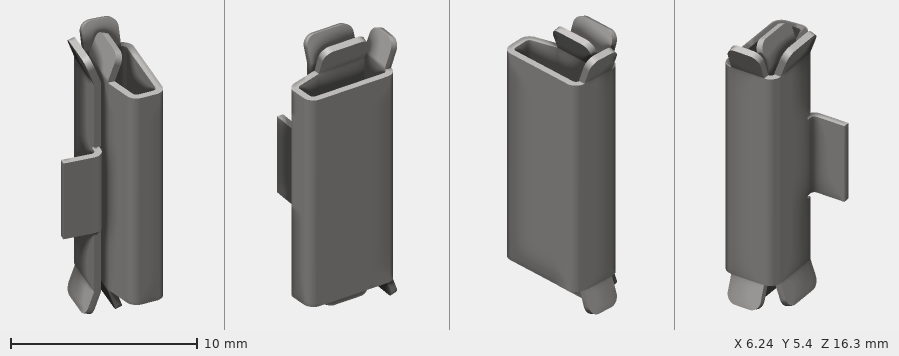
import cadquery as cq
import math

SHEET = 0.4
BODY_LENGTH = 13.08
BODY_DEPTH = 3.4
INNER_RADIUS = 0.25
SOFT_RADIUS = 0.1
OUTER_RADIUS = INNER_RADIUS + SHEET

BOTTOM_FLAT = 2.95
LEFT_FLAT = BODY_DEPTH - 2 * OUTER_RADIUS
TOP_FLAT = 4.325
RIGHT_FLAT = 0.87
ARM_FLAT = 1.55
TONGUE_FLAT = 2.92

CORNER_ANGLE = 90
TOP_RIGHT_ANGLE = 85
ARM_ANGLE = 78
TONGUE_ANGLE = 360 - 2 * CORNER_ANGLE - TOP_RIGHT_ANGLE - ARM_ANGLE

BOTTOM_END_X = OUTER_RADIUS + BOTTOM_FLAT

LEG_WIDTH = 4.8
LEG_REACH = 2.0
LEG_FLAT = LEG_REACH + SHEET - OUTER_RADIUS
RELIEF_WIDTH = 0.2
RELIEF_DEPTH = 0.3

TAB_ANGLE = 20
TAB_FLAT = 1.555
TAB_CORNER_RADIUS = 0.6


def step(point, heading, distance):
    """Move a 2D point along a heading given in degrees."""
    angle = math.radians(heading)
    return (point[0] + distance * math.cos(angle), point[1] + distance * math.sin(angle))


def folded_strip(plane, start, heading, folds):
    """Closed outline of a sheet edge that bends clockwise.

    The start point lies on the outside of the bends, which is left of the heading.
    Each fold is (flat length, bend angle after it, inside bend radius).
    Returns the outline on its plane and the end point of the outside face.
    """
    outside = start
    inside = step(start, heading - 90, SHEET)
    outline = cq.Workplane(plane).moveTo(*outside)
    way_back = []
    for flat, angle, radius in folds:
        if flat > 0:
            way_back.append((inside, None))
            outside = step(outside, heading, flat)
            inside = step(inside, heading, flat)
            outline = outline.lineTo(*outside)
        if angle > 0:
            centre = step(inside, heading - 90, radius)
            toward_middle = heading + 90 - angle / 2
            toward_end = heading + 90 - angle
            way_back.append((inside, step(centre, toward_middle, radius)))
            outside = step(centre, toward_end, radius + SHEET)
            outline = outline.threePointArc(step(centre, toward_middle, radius + SHEET), outside)
            inside = step(centre, toward_end, radius)
            heading -= angle
    outline = outline.lineTo(*inside)
    for point, arc_middle in reversed(way_back):
        if arc_middle is None:
            outline = outline.lineTo(*point)
        else:
            outline = outline.threePointArc(arc_middle, point)
    return outline.close(), outside


def make_tube():
    """Tube from the bottom wall's free edge round to the inner tongue, and the tongue's end point."""
    folds = [
        (BOTTOM_FLAT, CORNER_ANGLE, INNER_RADIUS),
        (LEFT_FLAT, CORNER_ANGLE, INNER_RADIUS),
        (TOP_FLAT, TOP_RIGHT_ANGLE, INNER_RADIUS),
        (RIGHT_FLAT, ARM_ANGLE, INNER_RADIUS),
        (ARM_FLAT, TONGUE_ANGLE, SOFT_RADIUS),
        (TONGUE_FLAT, 0, 0),
    ]
    outline, tongue_end = folded_strip("XY", (BOTTOM_END_X, 0), 180, folds)
    return outline.extrude(BODY_LENGTH / 2, both=True), tongue_end


def make_leg():
    folds = [(0, CORNER_ANGLE, INNER_RADIUS), (LEG_FLAT, 0, 0)]
    outline, _ = folded_strip("XY", (BOTTOM_END_X, SHEET), 0, folds)
    return outline.extrude(LEG_WIDTH / 2, both=True)


def make_relief(side):
    """Round-ended slot in the bottom wall beside the leg; side is +1 or -1 along Z."""
    middle_z = side * (LEG_WIDTH + RELIEF_WIDTH) / 2
    slot_length = 2 * RELIEF_DEPTH
    return (
        cq.Workplane("XZ", origin=(BOTTOM_END_X, 0, middle_z))
        .slot2D(slot_length, RELIEF_WIDTH)
        .extrude(-SHEET)
    )


def make_tab(width):
    """Upper tab centred on X = 0, flaring toward -Y from a wall whose flared-to face is Y = 0."""
    folds = [(0, TAB_ANGLE, SOFT_RADIUS), (TAB_FLAT, 0, 0)]
    flare_plane = cq.Plane(origin=(0, 0, 0), xDir=(0, -1, 0), normal=(-1, 0, 0))
    outline, _ = folded_strip(flare_plane, (-SHEET, BODY_LENGTH / 2), 90, folds)
    tilt = math.radians(TAB_ANGLE)
    through_sheet = cq.Vector(0, math.cos(tilt), math.sin(tilt))
    return (
        outline.extrude(width / 2, both=True)
        .edges(cq.selectors.ParallelDirSelector(through_sheet))
        .fillet(TAB_CORNER_RADIUS)
    )


def add_tab_pair(body, width, turn, x, y):
    """Turn a tab about Z, move it to a wall face, and add it at both ends of the tube."""
    tab = make_tab(width).rotate((0, 0, 0), (0, 0, 1), turn).translate((x, y, 0))
    return body.union(tab).union(tab.mirror("XY"))


tube, tongue_end = make_tube()
tongue_x, tongue_y = tongue_end

clip = tube
for end in (1, -1):
    clip = clip.cut(make_relief(end))
clip = clip.union(make_leg())

clip = add_tab_pair(clip, BOTTOM_FLAT, 0, OUTER_RADIUS + BOTTOM_FLAT / 2, 0)
clip = add_tab_pair(clip, LEFT_FLAT, -90, 0, BODY_DEPTH / 2)
clip = add_tab_pair(clip, TONGUE_FLAT, 180, tongue_x + TONGUE_FLAT / 2, tongue_y + SHEET)

result = clip